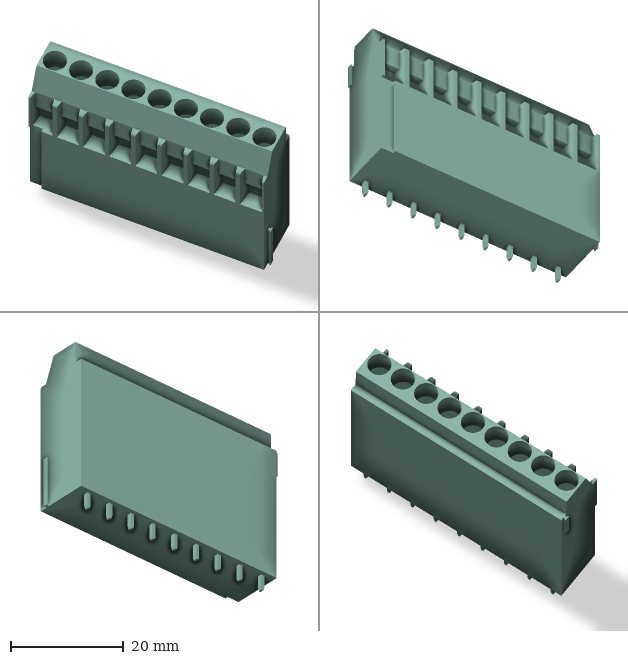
import cadquery as cq
import math

TOTAL_LENGTH = 47.0
RAIL_REACH = 0.6
BODY_LENGTH = TOTAL_LENGTH - 2 * RAIL_REACH
BODY_DEPTH = 10.95
BODY_HEIGHT = 31.15
POLE_COUNT = 9
PITCH = BODY_LENGTH / POLE_COUNT

FRONT_SHELF_DEPTH = 1.4
FRONT_SHELF_HEIGHT = BODY_HEIGHT - 5.05
FRONT_SHELF_CHAMFER = 0.25
ROOF_FRONT_Y = 3.5
BACK_SHELF_DEPTH = 1.45
BACK_SHELF_HEIGHT = BODY_HEIGHT - 4.32
BACK_WALL_LEAN = 0.15

SCREW_HOLE_DIAMETER = 4.3
SCREW_HOLE_Y = 5.8
SCREW_HOLE_DEPTH = 4.7

POCKET_WIDTH = 4.25
POCKET_FLOOR_HEIGHT = 17.05
POCKET_DEPTH = 2.7
POCKET_LEDGE_HEIGHT = 21.85
WALL_DRAFT = math.tan(math.radians(12))

CORNER_RECESS_WIDTH = PITCH / 2
CORNER_RECESS_DEPTH = RAIL_REACH
CORNER_RECESS_HEIGHT = POCKET_FLOOR_HEIGHT + CORNER_RECESS_DEPTH * WALL_DRAFT

RAIL_WIDTH = 1.05
RAIL_HEAD_THICKNESS = 0.25
RAIL_NECK_WIDTH = 0.4
RAIL_HEAD_CHAMFER = 0.15
RAIL_NECK_FLARE = 0.2
LEFT_RAIL_LENGTH = 4.85
LEFT_RAIL_Y = BODY_DEPTH - 0.95
RIGHT_RAIL_LENGTH = 10.0
RIGHT_RAIL_Y = 1.95

PIN_WIDTH = 0.75
PIN_THICKNESS = 0.85
PIN_LENGTH = 3.15
PIN_Y = BODY_DEPTH - 1.25
PIN_TIP_WIDTH = 0.38
PIN_TIP_HEIGHT = 0.6

LEFT_END = -BODY_LENGTH / 2
RIGHT_END = BODY_LENGTH / 2
POLE_CENTRES = [LEFT_END + (i + 0.5) * PITCH for i in range(POLE_COUNT)]


def make_housing_block():
    """Side profile in Y and Z, drawn out along the row of poles."""
    profile = [
        (0, 0),
        (BODY_DEPTH, 0),
        (BODY_DEPTH, BACK_SHELF_HEIGHT),
        (BODY_DEPTH - BACK_SHELF_DEPTH, BACK_SHELF_HEIGHT),
        (BODY_DEPTH - BACK_SHELF_DEPTH - BACK_WALL_LEAN, BODY_HEIGHT),
        (ROOF_FRONT_Y, BODY_HEIGHT),
        (FRONT_SHELF_DEPTH, FRONT_SHELF_HEIGHT),
        (FRONT_SHELF_CHAMFER, FRONT_SHELF_HEIGHT),
        (0, FRONT_SHELF_HEIGHT - FRONT_SHELF_CHAMFER),
    ]
    return cq.Workplane("YZ", origin=(LEFT_END, 0, 0)).polyline(profile).close().extrude(BODY_LENGTH)


def make_screw_hole(x):
    """Blind round hole sunk from the roof."""
    return (
        cq.Workplane("XY", origin=(x, SCREW_HOLE_Y, BODY_HEIGHT - SCREW_HOLE_DEPTH))
        .circle(SCREW_HOLE_DIAMETER / 2)
        .extrude(SCREW_HOLE_DEPTH)
    )


def pocket_section(x, depth):
    """Outline of the deep part of a pocket at a given depth behind the front face."""
    inset = depth * WALL_DRAFT
    floor = POCKET_FLOOR_HEIGHT + inset
    ceiling = POCKET_LEDGE_HEIGHT + (FRONT_SHELF_DEPTH - depth) * WALL_DRAFT
    return cq.Wire.makePolygon(
        [
            cq.Vector(x + side * (POCKET_WIDTH / 2 - inset), depth, z)
            for side, z in [(-1, floor), (1, floor), (1, ceiling), (-1, ceiling)]
        ],
        close=True,
    )


def make_pocket(x):
    """Drafted deep pocket below a shallow one that is open at the top."""
    deep_part = cq.Workplane(
        cq.Solid.makeLoft([pocket_section(x, 0), pocket_section(x, POCKET_DEPTH)], True)
    )
    front_half = POCKET_WIDTH / 2
    back_half = front_half - FRONT_SHELF_DEPTH * WALL_DRAFT
    shallow_part = (
        cq.Workplane("XY", origin=(x, 0, POCKET_LEDGE_HEIGHT))
        .polyline(
            [
                (-front_half, 0),
                (front_half, 0),
                (back_half, FRONT_SHELF_DEPTH),
                (-back_half, FRONT_SHELF_DEPTH),
            ]
        )
        .close()
        .extrude(FRONT_SHELF_HEIGHT - POCKET_LEDGE_HEIGHT)
    )
    return deep_part.union(shallow_part)


def make_corner_recess():
    """Shallow step in the front face below the first pocket."""
    return cq.Workplane("XY").box(
        CORNER_RECESS_WIDTH, CORNER_RECESS_DEPTH, CORNER_RECESS_HEIGHT, centered=False
    ).translate((LEFT_END, 0, 0))


def make_left_rail():
    """T-shaped rail hanging down from the height of the back shelf, outer back edge chamfered."""
    neck = RAIL_NECK_WIDTH / 2
    head = RAIL_WIDTH / 2
    head_inner = RAIL_REACH - RAIL_HEAD_THICKNESS
    outline = [
        (0, -neck),
        (-head_inner, -neck),
        (-head_inner, -head),
        (-RAIL_REACH, -head),
        (-RAIL_REACH, head - RAIL_HEAD_CHAMFER),
        (-RAIL_REACH + RAIL_HEAD_CHAMFER, head),
        (-head_inner, head),
        (-head_inner, neck),
        (0, neck),
    ]
    return (
        cq.Workplane("XY", origin=(LEFT_END, LEFT_RAIL_Y, BACK_SHELF_HEIGHT - LEFT_RAIL_LENGTH))
        .polyline(outline)
        .close()
        .extrude(LEFT_RAIL_LENGTH)
    )


def make_right_rail():
    """T-shaped rail standing on the board face, its neck flared at the front of its root."""
    neck = RAIL_NECK_WIDTH / 2
    head = RAIL_WIDTH / 2
    head_inner = RAIL_REACH - RAIL_HEAD_THICKNESS
    outline = [
        (0, -neck - RAIL_NECK_FLARE),
        (head_inner, -neck),
        (head_inner, -head),
        (RAIL_REACH, -head),
        (RAIL_REACH, head),
        (head_inner, head),
        (head_inner, neck),
        (0, neck),
    ]
    return (
        cq.Workplane("XY", origin=(RIGHT_END, RIGHT_RAIL_Y, 0))
        .polyline(outline)
        .close()
        .extrude(RIGHT_RAIL_LENGTH)
    )


def make_housing():
    body = make_housing_block().cut(make_corner_recess())
    for x in POLE_CENTRES:
        body = body.cut(make_screw_hole(x))
        body = body.cut(make_pocket(x))
    return body.union(make_left_rail()).union(make_right_rail())


def make_pin(x):
    """Flat solder pin below the board face, its tip tapered across the width."""
    shoulder = PIN_TIP_HEIGHT - PIN_LENGTH
    outline = [
        (-PIN_WIDTH / 2, 0),
        (PIN_WIDTH / 2, 0),
        (PIN_WIDTH / 2, shoulder),
        (PIN_TIP_WIDTH / 2, -PIN_LENGTH),
        (-PIN_TIP_WIDTH / 2, -PIN_LENGTH),
        (-PIN_WIDTH / 2, shoulder),
    ]
    return (
        cq.Workplane("XZ", origin=(x, PIN_Y + PIN_THICKNESS / 2, 0))
        .polyline(outline)
        .close()
        .extrude(PIN_THICKNESS)
    )


housing = make_housing()
pins = [make_pin(x) for x in POLE_CENTRES]

result = cq.Compound.makeCompound([housing.solids().val(), *[pin.val() for pin in pins]])